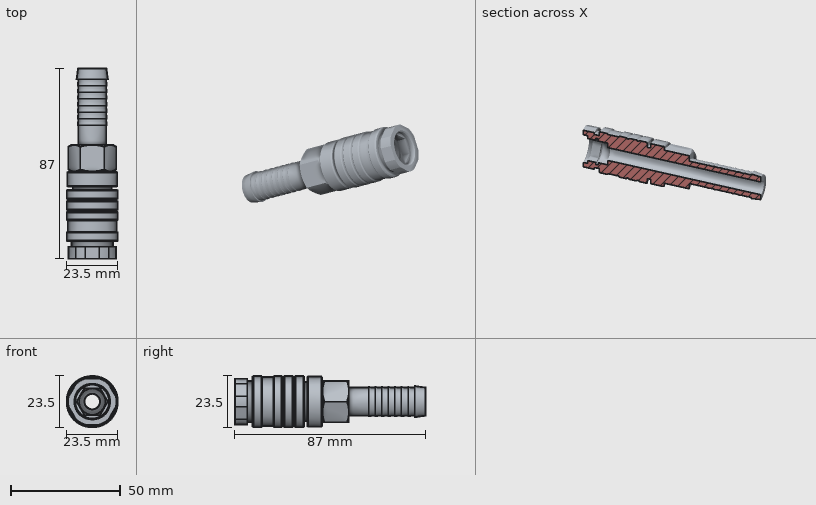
import cadquery as cq
import math


HALF_HEX_ANGLE = math.pi / 6

NUT_END = 5.65
SLEEVE_START = 8.0
SLEEVE_END = 31.6
COLLAR_START = 32.9
COLLAR_END = 39.8
HEX_START = 40.0
HEX_END = 52.0
TOTAL_LENGTH = 87.0

NUT_FLATS = 21.0
NUT_CORNER_DIAMETER = 22.0
NUT_NECK_RADIUS = 9.5

SLEEVE_RADIUS = 11.25
RING_RADIUS = 11.75
RINGS = [
    (SLEEVE_START, 12.4),
    (17.5, 21.6),
    (22.2, 26.6),
    (27.2, SLEEVE_END),
]
RING_CHAMFER = 0.5

COLLAR_RADIUS = 11.5
COLLAR_CHAMFER = 0.5
COLLAR_NECK_RADIUS = 9.0

HEX_FLATS = 19.0
HEX_CHAMFER_ANGLE = math.radians(30)

TAIL_RADIUS = 6.5
BARB_LENGTH = 5.0
BARB_RADIUS = 7.2
SERRATION_COUNT = 7
SERRATION_PITCH = 3.0
SERRATION_LENGTH = 1.5
SERRATION_RADIUS = 6.7

MOUTH_RADIUS = 8.2
MOUTH_CHAMFER = 0.5
COUNTERBORE_DEPTH = 2.3
SOCKET_FLATS = 12.3
SOCKET_HEX_END = 6.4
RELIEF_RADIUS = 7.3
RELIEF_END = 7.4
CHAMBER_RADIUS = 6.0
CHAMBER_END = 12.0
BORE_RADIUS = 3.5


def revolve_profile(points):
    """Revolve (radius, y) points, closed along the axis, about Y."""
    return cq.Workplane("XY").polyline(points).close().revolve(360, (0, 0, 0), (0, 1, 0))


def cylinder(radius, start, end):
    return revolve_profile([(0, start), (radius, start), (radius, end), (0, end)])


def cone(start_radius, end_radius, start, end):
    return revolve_profile([(0, start), (start_radius, start), (end_radius, end), (0, end)])


def chamfered_disc(radius, start, end, chamfer):
    return revolve_profile([
        (0, start),
        (radius - chamfer, start),
        (radius, start + chamfer),
        (radius, end - chamfer),
        (radius - chamfer, end),
        (0, end),
    ])


def hex_prism(flats, start, end):
    """Hexagonal prism along Y with two flats facing +Z and -Z."""
    corner_diameter = flats / math.cos(HALF_HEX_ANGLE)
    plane = cq.Workplane("XZ", origin=(0, start, 0))
    return plane.polygon(6, corner_diameter).extrude(start - end)


def front_nut():
    corners = cylinder(NUT_CORNER_DIAMETER / 2, 0, NUT_END)
    nut = hex_prism(NUT_FLATS, 0, NUT_END).intersect(corners)
    return nut.union(cylinder(NUT_NECK_RADIUS, 0, SLEEVE_START))


def grip_sleeve():
    first_edge = SLEEVE_START + RING_CHAMFER
    last_edge = SLEEVE_END - RING_CHAMFER
    sleeve = cylinder(SLEEVE_RADIUS, first_edge, last_edge)
    for start, end in RINGS:
        sleeve = sleeve.union(chamfered_disc(RING_RADIUS, start, end, RING_CHAMFER))
    return sleeve


def collar():
    neck = cylinder(COLLAR_NECK_RADIUS, SLEEVE_END, COLLAR_START)
    return neck.union(chamfered_disc(COLLAR_RADIUS, COLLAR_START, COLLAR_END, COLLAR_CHAMFER))


def rear_hex():
    face_radius = HEX_FLATS / 2
    corner_radius = face_radius / math.cos(HALF_HEX_ANGLE)
    depth = (corner_radius - face_radius) * math.tan(HEX_CHAMFER_ANGLE)
    envelope = revolve_profile([
        (0, HEX_START),
        (face_radius, HEX_START),
        (corner_radius, HEX_START + depth),
        (corner_radius, HEX_END - depth),
        (face_radius, HEX_END),
        (0, HEX_END),
    ])
    joint = cylinder(face_radius, COLLAR_END, HEX_START)
    return hex_prism(HEX_FLATS, HEX_START, HEX_END).intersect(envelope).union(joint)


def hose_tail():
    barb_start = TOTAL_LENGTH - BARB_LENGTH
    tail = cylinder(TAIL_RADIUS, HEX_END, barb_start)
    tail = tail.union(cone(BARB_RADIUS, TAIL_RADIUS, barb_start, TOTAL_LENGTH))
    for index in range(SERRATION_COUNT):
        start = barb_start - (index + 1) * SERRATION_PITCH
        tail = tail.union(cone(SERRATION_RADIUS, TAIL_RADIUS, start, start + SERRATION_LENGTH))
    return tail


def socket_cavity():
    cavity = cylinder(BORE_RADIUS, 0, TOTAL_LENGTH)
    cavity = cavity.union(cylinder(CHAMBER_RADIUS, 0, CHAMBER_END))
    cavity = cavity.union(hex_prism(SOCKET_FLATS, 0, SOCKET_HEX_END))
    cavity = cavity.union(cylinder(RELIEF_RADIUS, SOCKET_HEX_END, RELIEF_END))
    throat_radius = MOUTH_RADIUS - MOUTH_CHAMFER
    cavity = cavity.union(cylinder(throat_radius, 0, COUNTERBORE_DEPTH))
    return cavity.union(cone(MOUTH_RADIUS, throat_radius, 0, MOUTH_CHAMFER))


body = front_nut().union(grip_sleeve()).union(collar()).union(rear_hex()).union(hose_tail())
result = body.cut(socket_cavity())